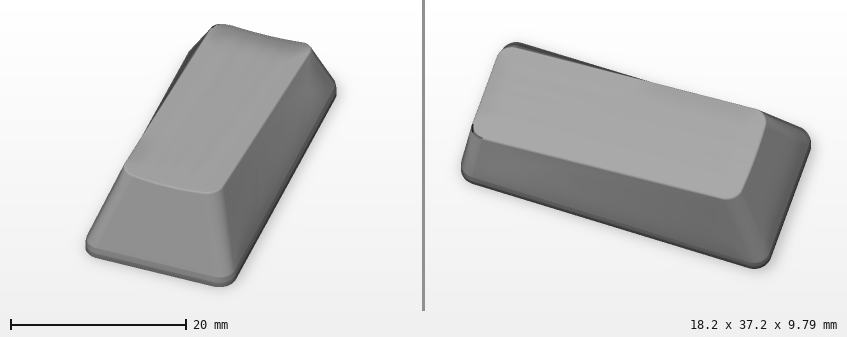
import cadquery as cq
import math

base_width = 18.16
base_length = 37.21
base_corner_radius = 2.0

bend_height = 1.02
bevel_half_height = 0.34
bevel_corner_radius = 1.8

top_width = 11.72
top_corner_radius = 1.8
front_setback = 4.68
back_setback = 0.39
top_front_height = 10.17
top_tilt = 6.95

dish_radius = 40.0
dish_depth = 0.68
rim_fillet = 0.25

tilt = math.radians(top_tilt)
front_y = -base_length / 2 + front_setback
back_y = base_length / 2 - back_setback
top_plan_length = back_y - front_y
top_length = top_plan_length / math.cos(tilt)
top_back_height = top_front_height - top_plan_length * math.tan(tilt)
top_plane = cq.Plane(
    origin=(0, (front_y + back_y) / 2, (top_front_height + top_back_height) / 2),
    xDir=(1, 0, 0),
    normal=(0, math.sin(tilt), math.cos(tilt)),
)


def outline(plane, front_width, back_width, front, back, radius):
    """Rounded trapezoid wire on a plane, its front and back sides at the given local y."""
    corners = [
        cq.Vector(-front_width / 2, front),
        cq.Vector(front_width / 2, front),
        cq.Vector(back_width / 2, back),
        cq.Vector(-back_width / 2, back),
    ]
    sharp_outline = cq.Wire.makePolygon(corners, close=True)
    rounded_outline = sharp_outline.fillet2D(radius, sharp_outline.Vertices())
    return rounded_outline.moved(plane.location)


def skirt_outline(height):
    plane = cq.Plane.XY(origin=(0, 0, height))
    return outline(
        plane, base_width, base_width, -base_length / 2, base_length / 2, base_corner_radius
    )


def bevel_top_outline():
    """Horizontal outline of the leaning walls, just above the bend."""
    front_share = bevel_half_height / (top_front_height - bend_height)
    back_share = bevel_half_height / (top_back_height - bend_height)
    side_setback = (base_width - top_width) / 2
    return outline(
        cq.Plane.XY(origin=(0, 0, bend_height + bevel_half_height)),
        base_width - 2 * side_setback * front_share,
        base_width - 2 * side_setback * back_share,
        -base_length / 2 + front_setback * front_share,
        base_length / 2 - back_setback * back_share,
        bevel_corner_radius,
    )


def top_outline():
    return outline(
        top_plane, top_width, top_width, -top_length / 2, top_length / 2, top_corner_radius
    )


def make_body():
    """Vertical skirt, narrow bevel and leaning walls, ruled from outline to outline."""
    sections = [
        skirt_outline(0),
        skirt_outline(bend_height - bevel_half_height),
        bevel_top_outline(),
        top_outline(),
    ]
    return cq.Workplane(cq.Solid.makeLoft(sections, True))


def make_dish_cutter():
    """Long cylinder lying along the tilted top."""
    end_plane = cq.Plane(
        origin=top_plane.toWorldCoords((0, -base_length, dish_radius - dish_depth)),
        xDir=top_plane.xDir,
        normal=top_plane.yDir,
    )
    return cq.Workplane(end_plane).circle(dish_radius).extrude(2 * base_length)


dished_body = make_body().cut(make_dish_cutter())
result = dished_body.faces("%CYLINDER").faces(">Z").edges().fillet(rim_fillet)